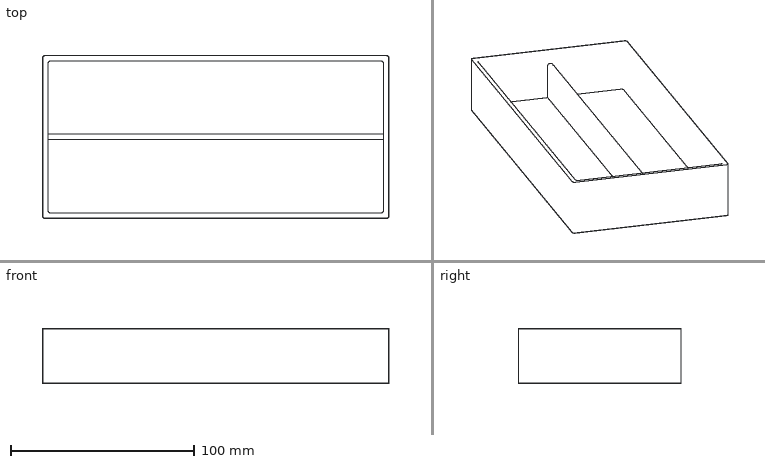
import cadquery as cq

length = 189.0
width = 89.0
height = 30.0
wall = 3.0
floor = 3.0

edge_radius = 1.25

cavity_length = length - 2 * wall
cavity_width = width - 2 * wall
cavity_depth = height - floor

divider_thickness = wall
divider_drop = 7.0
divider_height = cavity_depth - divider_drop


def upright_block(size_x, size_y, size_z, bottom):
    """Block centred on the Z axis, standing on the given level."""
    base = cq.Workplane("XY", origin=(0, 0, bottom))
    return base.box(size_x, size_y, size_z, centered=(True, True, False))


def make_body():
    """Solid block with rounded upright corners."""
    return upright_block(length, width, height, 0).edges("|Z").fillet(edge_radius)


def make_cavity():
    """Space inside the walls, open at the top, with rounded upright corners."""
    space = upright_block(cavity_length, cavity_width, cavity_depth, floor)
    return space.edges("|Z").fillet(edge_radius)


def round_rim(tray):
    """Round the inner edge of the rim, leaving the outer edge sharp."""
    mid_wall_x = (length - wall) / 2
    mid_wall_y = (width - wall) / 2
    inner_rim = cq.selectors.BoxSelector(
        (-mid_wall_x, -mid_wall_y, height - edge_radius),
        (mid_wall_x, mid_wall_y, height + edge_radius),
        boundingbox=True,
    )
    return tray.edges(inner_rim).fillet(edge_radius)


def make_divider():
    """Upright rib with rounded top edges, reaching from end wall to end wall."""
    rib = upright_block(cavity_length, divider_thickness, divider_height, floor)
    return rib.edges("|X and >Z").fillet(edge_radius)


tray = make_body().cut(make_cavity())
result = round_rim(tray).union(make_divider())